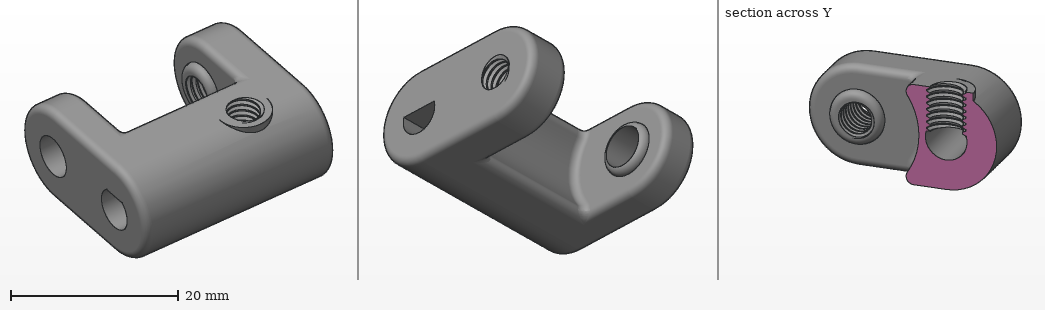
import cadquery as cq
import math

length = 25.5
width = 28.0
height = 13.0
end_radius = height / 2
pivot_x = -(length / 2 - end_radius)
shaft_x = -pivot_x
edge_round = 1.0

front_arm_thickness = 5.0
rear_arm_thickness = 6.0
opening_front_y = -width / 2 + front_arm_thickness
opening_rear_y = width / 2 - rear_arm_thickness
opening_radius = 9.0

boss_diameter = 7.0
boss_height = 1.0
boss_round = 0.98
pivot_hole_diameter = 5.4
shaft_hole_diameter = 5.25
front_flat_z = 2.1
rear_flat_z = 0.7

thread_minor = 4.12
thread_major = 5.0
thread_pitch = 0.8
groove_mouth = 0.67
groove_root = 0.1
groove_overlap = 0.08
set_screw_y = 5.0
set_screw_boss_base = 3.35


def cylinder_y(x, diameter, y_start, y_end):
    """Cylinder parallel to Y, centred at height zero."""
    return cq.Workplane(
        cq.Solid.makeCylinder(
            diameter / 2, y_end - y_start, cq.Vector(x, y_start, 0), cq.Vector(0, 1, 0)
        )
    )


def is_inner_corner(edge):
    """True for the long arcs where the arms meet the concave back of the opening."""
    return edge.geomType() == "CIRCLE" and edge.Center().x > 0 and edge.Length() > opening_radius


def make_body():
    """Rounded stadium bar with a concave-backed opening and rounded edges."""
    bar = cq.Workplane("XZ").slot2D(length, height).extrude(width / 2, both=True)
    bar = bar.faces("<Y or >Y").edges().fillet(edge_round)
    body = bar.cut(cylinder_y(pivot_x, 2 * opening_radius, opening_front_y, opening_rear_y))

    opening_edges = cq.selectors.BoxSelector(
        (-length, opening_front_y - edge_round, -height),
        (shaft_x, opening_rear_y + edge_round, height),
        boundingbox=True,
    )
    rims = [edge for edge in body.edges(opening_edges).vals() if not is_inner_corner(edge)]
    body = body.newObject(rims).fillet(edge_round)
    corner_arcs = [edge for edge in body.edges(opening_edges).vals() if is_inner_corner(edge)]
    return body.newObject(corner_arcs).fillet(edge_round)


def make_arm_boss(arm_face_y, direction):
    """Round-nosed boss on an arm's inner face; direction is the Y sign it points to."""
    return (
        cq.Workplane("XZ", origin=(pivot_x, arm_face_y, 0))
        .circle(boss_diameter / 2)
        .extrude(-direction * boss_height)
        .faces(">Y" if direction > 0 else "<Y")
        .edges()
        .fillet(boss_round)
    )


def make_set_screw_boss():
    """Flat-topped pad around the set screw, level with the top face."""
    return (
        cq.Workplane("XY", origin=(shaft_x, set_screw_y, set_screw_boss_base))
        .circle(boss_diameter / 2)
        .extrude(height / 2 - set_screw_boss_base)
    )


def make_d_hole(flat_z, y_start, y_end):
    """Shaft hole section with a flat roof at flat_z."""
    radius = shaft_hole_diameter / 2
    half_flat = math.sqrt(radius**2 - flat_z**2)
    return (
        cq.Workplane("XZ", origin=(shaft_x, y_start, 0))
        .moveTo(-half_flat, flat_z)
        .threePointArc((0, -radius), (half_flat, flat_z))
        .close()
        .extrude(y_start - y_end)
    )


def make_tap(depth):
    """Threaded cutter along +Z that runs past both ends of the depth."""
    inner_radius = thread_minor / 2 - groove_overlap
    helix = cq.Wire.makeHelix(thread_pitch, depth + 2 * thread_pitch, inner_radius)
    groove = (
        cq.Workplane("XZ")
        .polyline(
            [
                (inner_radius, -groove_mouth / 2),
                (thread_major / 2, -groove_root / 2),
                (thread_major / 2, groove_root / 2),
                (inner_radius, groove_mouth / 2),
            ]
        )
        .close()
        .sweep(cq.Workplane(helix), isFrenet=True)
        .translate((0, 0, -thread_pitch))
    )
    core = (
        cq.Workplane("XY", origin=(0, 0, -2 * thread_pitch))
        .circle(thread_minor / 2)
        .extrude(depth + 4 * thread_pitch)
    )
    return core.union(groove)


result = (
    make_body()
    .union(make_set_screw_boss())
    .union(make_arm_boss(opening_front_y, 1))
    .union(make_arm_boss(opening_rear_y, -1))
)

result = (
    result.cut(cylinder_y(pivot_x, pivot_hole_diameter, -width / 2, 0))
    .cut(make_d_hole(front_flat_z, -width / 2, set_screw_y))
    .cut(make_d_hole(rear_flat_z, set_screw_y, width / 2))
)

pivot_tap = (
    make_tap(rear_arm_thickness + boss_height)
    .rotate((0, 0, 0), (1, 0, 0), -90)
    .translate((pivot_x, opening_rear_y - boss_height, 0))
)
result = result.cut(pivot_tap)

set_screw_tap = make_tap(height / 2 - rear_flat_z).translate((shaft_x, set_screw_y, rear_flat_z))
result = result.cut(set_screw_tap)